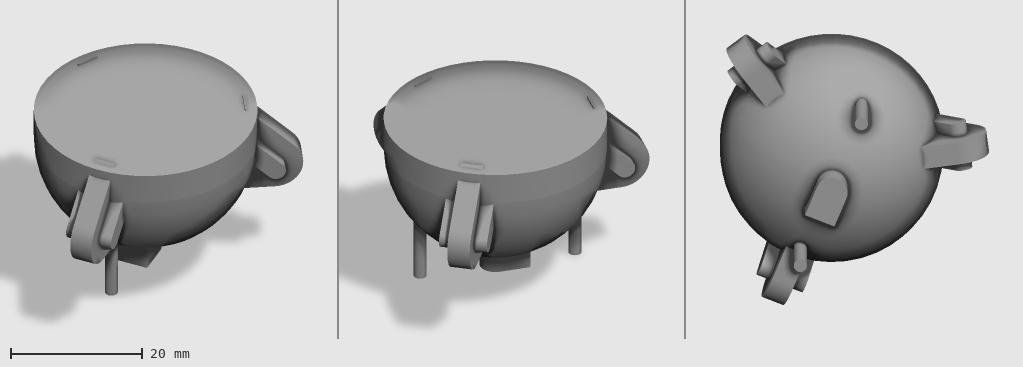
import cadquery as cq
import math

bowl_radius = 17.0
rim_height = 4.95

arm_count = 3
first_arm_angle = -90
arm_reach = 23.9
arm_thickness = 3.5
arm_end_radius = 4.3
arm_bottom_z = -9.62
arm_peak_z = 5.4
arm_root_radius = 10.8
arm_end_r = arm_reach - arm_end_radius
arm_end_z = arm_bottom_z + arm_end_radius

bar_width = 7.45
bar_end_radius = 1.45
bar_length = 8.65

foot_bottom_z = -20.93
pin_diameter = 2.0
front_pin_y = -12.6
rear_pin_y = 11.9
block_width = 4.85

diagonal = math.sqrt(0.5)


def make_bowl():
    """Quarter-round profile with a straight rim, revolved about Z."""
    return (
        cq.Workplane("XZ")
        .moveTo(0, -bowl_radius)
        .threePointArc((bowl_radius * diagonal, -bowl_radius * diagonal), (bowl_radius, 0))
        .lineTo(bowl_radius, rim_height)
        .lineTo(0, rim_height)
        .close()
        .revolve(360, (0, 0, 0), (0, 1, 0))
    )


def make_arm():
    """Arm along +X; the tip of its sloping edge pokes through the rim's top face."""
    tangent_offset = arm_end_radius * diagonal
    tangent_r = arm_end_r + tangent_offset
    tangent_z = arm_end_z + tangent_offset
    peak_r = tangent_r + tangent_z - arm_peak_z
    plate = (
        cq.Workplane("XZ")
        .moveTo(arm_root_radius, arm_bottom_z)
        .lineTo(arm_end_r, arm_bottom_z)
        .threePointArc((arm_reach, arm_end_z), (tangent_r, tangent_z))
        .lineTo(peak_r, arm_peak_z)
        .lineTo(peak_r, 0)
        .close()
        .extrude(arm_thickness / 2, both=True)
    )
    bar_shift = bar_length / 2 * diagonal
    bar = (
        cq.Workplane("XZ")
        .center(arm_end_r - bar_shift, arm_end_z + bar_shift)
        .slot2D(bar_length + 2 * bar_end_radius, 2 * bar_end_radius, -45)
        .extrude(bar_width / 2, both=True)
    )
    return plate.union(bar)


def make_feet():
    """Two round pins and a central D-shaped block, all reaching up into the bowl."""
    foot_plane = cq.Workplane("XY").workplane(offset=foot_bottom_z)
    foot_height = -foot_bottom_z
    pins = (
        foot_plane.pushPoints([(0, front_pin_y), (0, rear_pin_y)])
        .circle(pin_diameter / 2)
        .extrude(foot_height)
    )
    half_width = block_width / 2
    block = (
        foot_plane.moveTo(-half_width, -block_width)
        .lineTo(half_width, -block_width)
        .lineTo(half_width, 0)
        .threePointArc((0, half_width), (-half_width, 0))
        .close()
        .extrude(foot_height)
    )
    return pins.union(block)


result = make_bowl().union(make_feet())
arm = make_arm()
for index in range(arm_count):
    angle = first_arm_angle + index * 360 / arm_count
    result = result.union(arm.rotate((0, 0, 0), (0, 0, 1), angle))